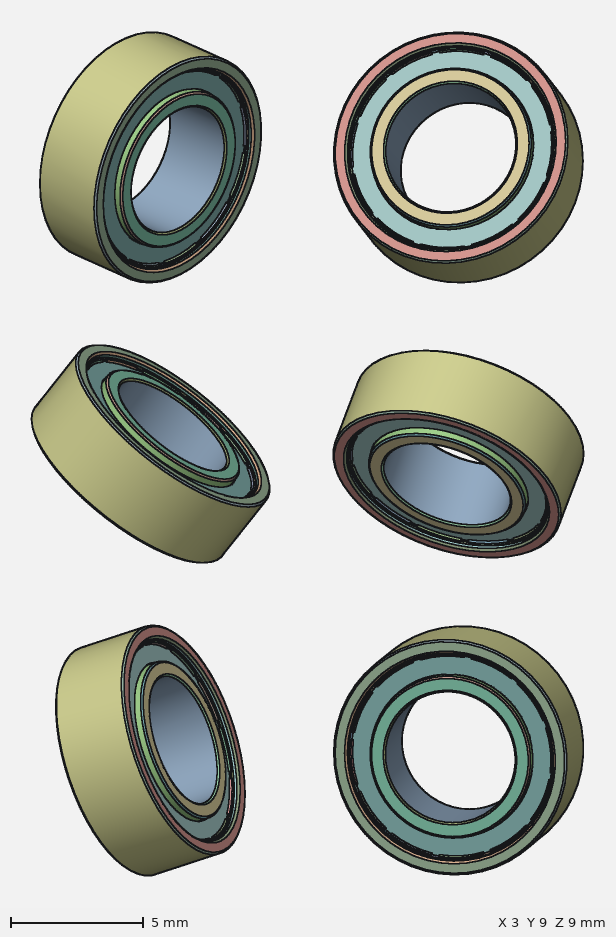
import cadquery as cq

WIDTH = 3.0
OUTER_RADIUS = 4.5
BORE_RADIUS = 2.5
EDGE_CHAMFER = 0.07
HALF_WIDTH = WIDTH / 2.0

MOUTH_RADIUS = 4.07
SEAT_RADIUS = 3.98
SEAT_DEPTH = 0.45
LAND_RADIUS = 3.78

INNER_RING_RADIUS = 3.1

SHIELD_GAP = 0.03
PLATE_DEPTH = 0.32
TAB_COUNT = 12
TAB_PITCH = 360.0 / TAB_COUNT
TAB_FOOT_RADIUS = 3.825
TAB_BEND_RADIUS = 3.88
TAB_BEND_RISE = 0.08
TAB_CREST_RADIUS = 3.93
TAB_RISE = 0.12
LIP_THICKNESS = 0.02
NOTCH_ANGLE = 4.4
FIRST_NOTCH_ANGLE = 20.7
NOTCH_FLOOR_RISE = 0.03

PLATE_X = -HALF_WIDTH + PLATE_DEPTH
SHIELD_BACK_X = -HALF_WIDTH + SEAT_DEPTH


def revolve_about_x(profile, angle=360.0):
    """Revolve a closed outline of (x, radius) points about the X axis, starting on the -Y side."""
    points = [(x, -radius) for x, radius in profile]
    return cq.Workplane("XY").polyline(points).close().revolve(angle, (0, 0, 0), (1, 0, 0))


def symmetric_ring(left_half):
    """Revolve an outline that is completed by its mirror image across X = 0."""
    right_half = [(-x, radius) for x, radius in reversed(left_half)]
    return revolve_about_x(left_half + right_half)


def make_outer_ring():
    mouth_chamfer = MOUTH_RADIUS - SEAT_RADIUS
    return symmetric_ring([
        (SHIELD_BACK_X, LAND_RADIUS),
        (SHIELD_BACK_X, SEAT_RADIUS),
        (-HALF_WIDTH + mouth_chamfer, SEAT_RADIUS),
        (-HALF_WIDTH, MOUTH_RADIUS),
        (-HALF_WIDTH, OUTER_RADIUS - EDGE_CHAMFER),
        (-HALF_WIDTH + EDGE_CHAMFER, OUTER_RADIUS),
    ])


def make_inner_ring():
    return symmetric_ring([
        (-HALF_WIDTH + EDGE_CHAMFER, BORE_RADIUS),
        (-HALF_WIDTH, BORE_RADIUS + EDGE_CHAMFER),
        (-HALF_WIDTH, INNER_RING_RADIUS - EDGE_CHAMFER),
        (-HALF_WIDTH + EDGE_CHAMFER, INNER_RING_RADIUS),
    ])


def make_shield_blank():
    """Left-hand shield with an unbroken rim that slopes up in two steps to a flat crest."""
    plate_bore = INNER_RING_RADIUS + SHIELD_GAP
    return revolve_about_x([
        (SHIELD_BACK_X, plate_bore),
        (PLATE_X, plate_bore),
        (PLATE_X, TAB_FOOT_RADIUS),
        (PLATE_X - TAB_BEND_RISE, TAB_BEND_RADIUS),
        (PLATE_X - TAB_RISE, TAB_CREST_RADIUS),
        (PLATE_X - TAB_RISE, SEAT_RADIUS),
        (SHIELD_BACK_X, SEAT_RADIUS),
    ])


def make_notch():
    """Cutter for one gap between tabs, centred on the -Y direction; it leaves the outer lip whole."""
    lip_radius = SEAT_RADIUS - LIP_THICKNESS
    floor_x = PLATE_X - NOTCH_FLOOR_RISE
    notch = revolve_about_x([
        (-HALF_WIDTH, TAB_FOOT_RADIUS),
        (PLATE_X, TAB_FOOT_RADIUS),
        (PLATE_X, TAB_BEND_RADIUS),
        (floor_x, TAB_BEND_RADIUS),
        (floor_x, lip_radius),
        (-HALF_WIDTH, lip_radius),
    ], NOTCH_ANGLE)
    return notch.rotate((0, 0, 0), (1, 0, 0), -NOTCH_ANGLE / 2.0)


def make_left_shield():
    shield = make_shield_blank()
    notch = make_notch()
    for index in range(TAB_COUNT):
        angle = FIRST_NOTCH_ANGLE + index * TAB_PITCH
        shield = shield.cut(notch.rotate((0, 0, 0), (1, 0, 0), angle))
    return shield.solids()


outer_ring = make_outer_ring()
inner_ring = make_inner_ring()
left_shield = make_left_shield()
right_shield = left_shield.mirror("YZ").solids()

result = cq.Compound.makeCompound(
    [outer_ring.val(), inner_ring.val(), left_shield.val(), right_shield.val()]
)